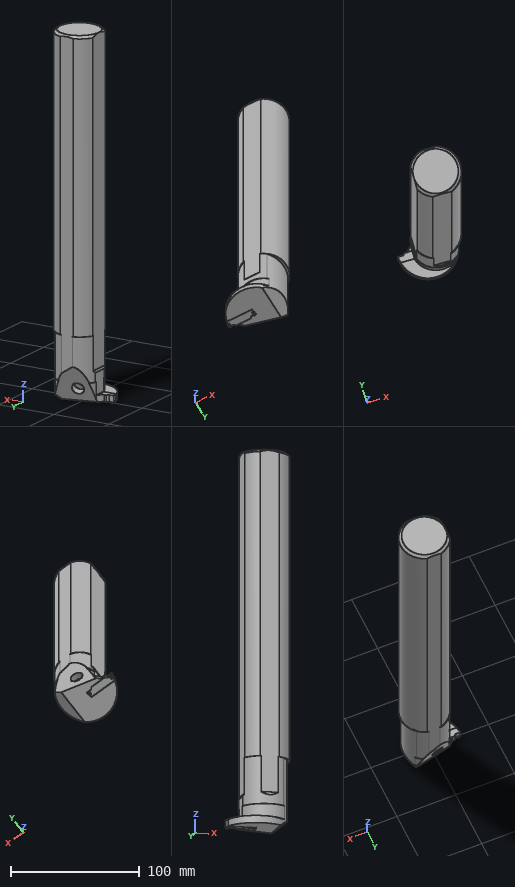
import cadquery as cq


total_height = 300.0
shank_radius = 20.0
shank_bottom = 55.5
flat_front = 18.5
flat_left = 17.7
flat_back = 19.2
chamfer_radial = 2.5
chamfer_height = 2.0

neck_radius = 19.8
groove_radius = 19.5
groove_top = 17.5
flat_bottom = 27.0
ramp_slope = 2.0
lower_flat_left = 18.5

plate_bottom = 1.0
plate_top = 6.5
head_radius = 24.3
head_x = -6.3
head_y = 0.3
corner_run = 9.0
corner_rise = 7.0
jaw_x = -23.0
jaw_length = 8.0

relief_y = 9.3
slope_x = 0.25
slope_z = 0.36
coolant_diameter = 10.0
coolant_depth = 6.0
coolant_x = -6.0
coolant_z = 11.7

overall_width = 51.0
tip_x = shank_radius - overall_width
insert_end_x = -6.5
insert_front = -5.5
insert_back = 1.2
rake_y = -0.3
rake_length = 4.2
end_relief = 1.0
tooth_length = 1.2
tooth_relief = 3.0

reach = 45.0


def cylinder(radius, bottom, top, x=0, y=0):
    return cq.Workplane("XY", origin=(x, y, bottom)).circle(radius).extrude(top - bottom)


def block(x_range, y_range, z_range):
    (x0, x1), (y0, y1), (z0, z1) = x_range, y_range, z_range
    return cq.Workplane("XY").box(x1 - x0, y1 - y0, z1 - z0, centered=False).translate((x0, y0, z0))


def head_envelope(bottom, top):
    """Offset cylinder that bounds the plate and the right side of the neck."""
    return cylinder(head_radius, bottom, top, head_x, head_y)


def make_shank():
    profile = [
        (0, shank_bottom),
        (shank_radius, shank_bottom),
        (shank_radius, total_height - chamfer_height),
        (shank_radius - chamfer_radial, total_height),
        (0, total_height),
    ]
    return cq.Workplane("XZ").polyline(profile).close().revolve(360, (0, 0), (0, 1))


def make_neck():
    groove = cylinder(groove_radius, plate_bottom, groove_top)
    upper = cylinder(neck_radius, groove_top, shank_bottom)
    return groove.union(upper).intersect(head_envelope(plate_bottom, shank_bottom))


def make_plate():
    jaw_end_x = jaw_x + jaw_length
    chip_space = (
        cq.Workplane("XY", origin=(0, 0, plate_bottom))
        .polyline([
            (-reach, insert_front),
            (jaw_x, insert_front),
            (jaw_x, insert_back),
            (jaw_end_x, insert_back + jaw_length),
            (jaw_end_x, reach),
            (-reach, reach),
        ])
        .close()
        .extrude(plate_top - plate_bottom)
    )
    return head_envelope(plate_bottom, plate_top).cut(chip_space)


def ramped_flat(plane, distance):
    """Cutter for a flat on the negative side of the axis whose lower end ramps outward."""
    ramp_run = neck_radius - distance
    ramp_bottom = flat_bottom - ramp_slope * ramp_run
    return (
        cq.Workplane(plane)
        .polyline([
            (-distance, total_height),
            (-distance, flat_bottom),
            (-neck_radius, ramp_bottom),
            (-reach, ramp_bottom),
            (-reach, total_height),
        ])
        .close()
        .extrude(reach, both=True)
    )


def cut_flats(body):
    span = (-reach, reach)
    full = (0, total_height)
    body = body.cut(block(span, (flat_back, reach), full))
    body = body.cut(ramped_flat("YZ", flat_front))
    body = body.cut(ramped_flat("XZ", flat_left))
    return body.cut(block((-reach, -lower_flat_left), span, (plate_top, flat_bottom)))


def cut_corner(body):
    """Bevel the lower right corner of the head."""
    right = head_x + head_radius
    wedge = (
        cq.Workplane("XZ")
        .polyline([
            (right - corner_run, plate_bottom),
            (right, plate_bottom),
            (right, plate_bottom + corner_rise),
        ])
        .close()
        .extrude(reach, both=True)
    )
    return body.cut(wedge)


def cut_relief(body):
    """Remove the back of the head along the sloping relief and sink the coolant hole in it."""
    coolant_y = relief_y + slope_x * coolant_x + slope_z * coolant_z
    face = cq.Plane(
        origin=(coolant_x, coolant_y, coolant_z),
        xDir=(1, slope_x, 0),
        normal=(-slope_x, 1, -slope_z),
    )
    relief = cq.Workplane(face).rect(4 * reach, 4 * reach).extrude(reach)
    below_shank = block((-reach, reach), (-reach, reach), (0, shank_bottom))
    coolant = cq.Workplane(face).circle(coolant_diameter / 2).extrude(-coolant_depth)
    return body.cut(relief.intersect(below_shank)).cut(coolant)


def make_insert():
    bar = (
        cq.Workplane("XY", origin=(0, 0, plate_bottom))
        .polyline([
            (tip_x, rake_y),
            (tip_x + rake_length, rake_y),
            (tip_x + rake_length + insert_back - rake_y, insert_back),
            (insert_end_x - rake_length - insert_back + rake_y, insert_back),
            (insert_end_x - rake_length, rake_y),
            (insert_end_x, rake_y),
            (insert_end_x - end_relief, insert_front),
            (tip_x + end_relief, insert_front),
        ])
        .close()
        .extrude(plate_top - plate_bottom)
    )
    for tooth_start in (tip_x + end_relief, insert_end_x - end_relief - tooth_length):
        tooth = (
            cq.Workplane("YZ", origin=(tooth_start, 0, 0))
            .polyline([
                (rake_y, 0),
                (rake_y, plate_bottom),
                (rake_y - tooth_relief, plate_bottom),
            ])
            .close()
            .extrude(tooth_length)
        )
        bar = bar.union(tooth)
    return bar


insert = make_insert()

holder = make_shank().union(make_neck()).union(make_plate())
holder = cut_flats(holder)
holder = cut_corner(holder)
holder = cut_relief(holder)
holder = holder.cut(insert)

result = cq.Compound.makeCompound([holder.val(), insert.val()])